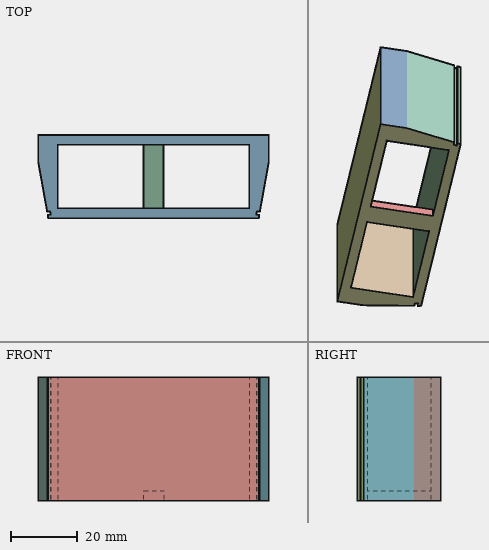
import cadquery as cq

length = 69.0
depth = 25.0
height = 37.0

taper_start = 16.9
body_front_length = 63.6

front_length = 62.9
lip_length = 63.35
lip_widest = 1.0
groove_front = 1.1
groove_back = 2.0
groove_mouth_length = 61.8
groove_floor_length = 61.4

wall = 3.05
opening_length = 57.1
bar_width = 6.0
bar_height = wall

opening_depth = depth - 2 * wall
front_y = -depth / 2


def make_body():
    """Extrude the mirrored outline, including the two side grooves."""
    steps = [
        (front_length, 0),
        (lip_length, lip_widest),
        (front_length, groove_front),
        (groove_floor_length, groove_front),
        (groove_mouth_length, groove_back),
        (body_front_length, groove_back),
        (length, taper_start),
        (length, depth),
    ]
    right_side = [(span / 2, front_y + y) for span, y in steps]
    left_side = [(-x, y) for x, y in reversed(right_side)]
    return cq.Workplane("XY").polyline(right_side + left_side).close().extrude(height)


def make_opening():
    """Rectangular opening through the full height."""
    return cq.Workplane("XY").rect(opening_length, opening_depth).extrude(height)


def make_cross_bar():
    """Low bar joining the front and back walls at the base."""
    return cq.Workplane("XY").rect(bar_width, opening_depth + wall).extrude(bar_height)


result = make_body().cut(make_opening()).union(make_cross_bar())